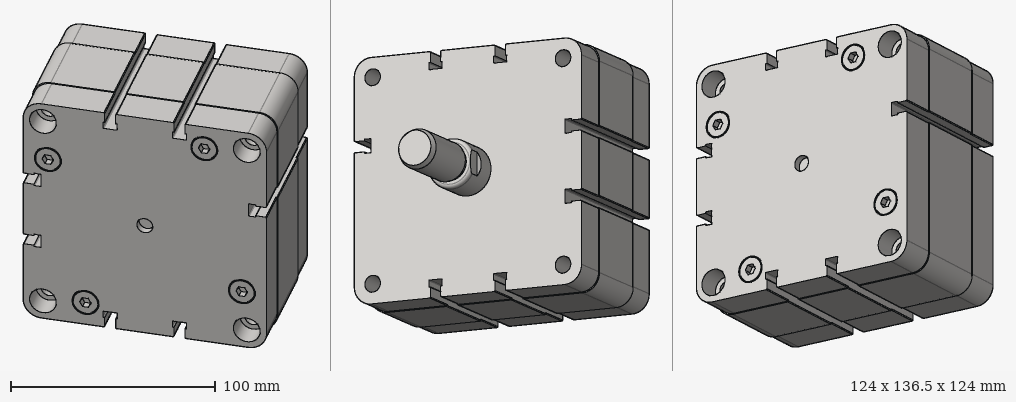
import cadquery as cq
import math

tube_width = 124.0
cover_width = 123.0
cover_length = 19.25
tube_length = 38.0
body_length = 2 * cover_length + tube_length
corner_radius = 9.25

slot_offset = 17.5
slot_mouth_width = 5.5
slot_pocket_width = 7.0
slot_pocket_corner = 0.3
slot_depth = 9.5
slot_pocket_height = 3.5
mouth_chamfer = 0.45

mount_offset = 51.5
mount_hole_diameter = 8.38
mount_counterbore_diameter = 13.5
mount_counterbore_depth = 12.0

screw_near_offset = 30.0
screw_far_offset = 49.0
screw_recess_diameter = 13.5
screw_head_diameter = 12.5
screw_gap_depth = 1.0
hex_across_flats = 5.0
hex_depth = 4.0

center_hole_diameter = 8.0
center_hole_depth = 4.0

rod_diameter = 25.0
rod_length = 20.0
rod_shoulder_radius = 2.0
neck_diameter = 17.5
neck_length = 2.75
thread_diameter = 20.0
thread_depth = (thread_diameter - neck_diameter) / 2
thread_runout_length = 1.0
thread_tip_length = 3.25
rod_end = 60.0
flat_width = 22.0
flat_length = 7.5


def along_y(y):
    """Workplane at position y whose local axes are X and Z and whose normal is -Y."""
    return cq.Workplane("XZ", origin=(0, y, 0))


def block(width, start, length):
    """Square block with rounded long edges, growing from start toward +Y."""
    return along_y(start).rect(width, width).extrude(-length).edges("|Y").fillet(corner_radius)


def cylinder(x, z, diameter, depth):
    """Cylinder going into the housing from its front face."""
    return along_y(0).center(x, z).circle(diameter / 2).extrude(-depth)


def slot_cutter(offset, side_width):
    """T-slot cutter open toward +Z, with its mouth chamfered where a section of side_width ends."""
    top = side_width / 2
    floor = tube_width / 2 - slot_depth
    pocket_middle = floor + slot_pocket_height / 2
    half_mouth = slot_mouth_width / 2
    flare = half_mouth + mouth_chamfer
    pocket = (
        along_y(0)
        .center(offset, pocket_middle)
        .rect(slot_pocket_width, slot_pocket_height)
        .extrude(-body_length)
        .edges("|Y")
        .fillet(slot_pocket_corner)
    )
    mouth = (
        along_y(0)
        .moveTo(offset - half_mouth, pocket_middle)
        .lineTo(offset - half_mouth, top - mouth_chamfer)
        .lineTo(offset - flare, top)
        .lineTo(offset - flare, tube_width)
        .lineTo(offset + flare, tube_width)
        .lineTo(offset + flare, top)
        .lineTo(offset + half_mouth, top - mouth_chamfer)
        .lineTo(offset + half_mouth, pocket_middle)
        .close()
        .extrude(-body_length)
    )
    return pocket.union(mouth)


def cut_slots(section, width):
    """Two slots on the top, bottom and -X sides and only the upper one on the +X side."""
    slots = [(side, offset) for side in (0, 180, -90) for offset in (-slot_offset, slot_offset)]
    slots.append((90, -slot_offset))
    for side, offset in slots:
        cutter = slot_cutter(offset, width).rotate((0, 0, 0), (0, 1, 0), side)
        section = section.cut(cutter)
    return section


def housing():
    front_cover = cut_slots(block(cover_width, 0, cover_length), cover_width)
    tube = cut_slots(block(tube_width, cover_length, tube_length), tube_width)
    rear_cover = cut_slots(block(cover_width, cover_length + tube_length, cover_length), cover_width)
    return front_cover.union(tube).union(rear_cover)


def cut_mounting_holes(body):
    for x in (-mount_offset, mount_offset):
        for z in (-mount_offset, mount_offset):
            body = body.cut(cylinder(x, z, mount_hole_diameter, body_length))
            body = body.cut(cylinder(x, z, mount_counterbore_diameter, mount_counterbore_depth))
    return body


def cut_cover_screws(body):
    """Ring gap and hexagon socket for each of the four cover screws."""
    hex_across_corners = hex_across_flats / math.cos(math.pi / 6)
    places = [
        (screw_near_offset, screw_far_offset),
        (screw_far_offset, -screw_near_offset),
        (-screw_near_offset, -screw_far_offset),
        (-screw_far_offset, screw_near_offset),
    ]
    for x, z in places:
        recess = cylinder(x, z, screw_recess_diameter, screw_gap_depth)
        gap = recess.cut(cylinder(x, z, screw_head_diameter, screw_gap_depth))
        socket = along_y(0).center(x, z).polygon(6, hex_across_corners).extrude(-hex_depth)
        body = body.cut(gap).cut(socket)
    return body


def piston_rod():
    """Turned rod with a plain cylinder for its thread, revolved about Y and flattened for a wrench."""
    rod_radius = rod_diameter / 2
    neck_radius = neck_diameter / 2
    thread_radius = thread_diameter / 2
    neck_end = rod_length + neck_length
    profile = (
        cq.Workplane("XY", origin=(0, body_length, 0))
        .lineTo(rod_radius, 0)
        .lineTo(rod_radius, rod_length - rod_shoulder_radius)
        .radiusArc((rod_radius - rod_shoulder_radius, rod_length), -rod_shoulder_radius)
        .lineTo(neck_radius, rod_length)
        .lineTo(neck_radius, neck_end)
        .lineTo(thread_radius, neck_end + thread_runout_length)
        .lineTo(thread_radius, rod_end - thread_tip_length)
        .lineTo(thread_radius - thread_depth, rod_end)
        .lineTo(0, rod_end)
        .close()
    )
    rod = profile.revolve(360, (0, 0, 0), (0, 1, 0))
    return cut_wrench_flats(rod)


def cut_wrench_flats(rod):
    """Two flats on the +X and -X sides, running out to the full diameter at 45 degrees."""
    half_width = flat_width / 2
    shoulder = body_length + rod_length
    flat_start = shoulder - flat_length
    clearance = rod_diameter - half_width
    for side in (-1, 1):
        cutter = (
            cq.Workplane("XY", origin=(0, 0, -rod_diameter / 2))
            .moveTo(side * half_width, shoulder)
            .lineTo(side * half_width, flat_start)
            .lineTo(side * rod_diameter, flat_start - clearance)
            .lineTo(side * rod_diameter, shoulder)
            .close()
            .extrude(rod_diameter)
        )
        rod = rod.cut(cutter)
    return rod


body = cut_mounting_holes(housing())
body = cut_cover_screws(body)
body = body.cut(cylinder(0, 0, center_hole_diameter, center_hole_depth))
result = body.union(piston_rod())